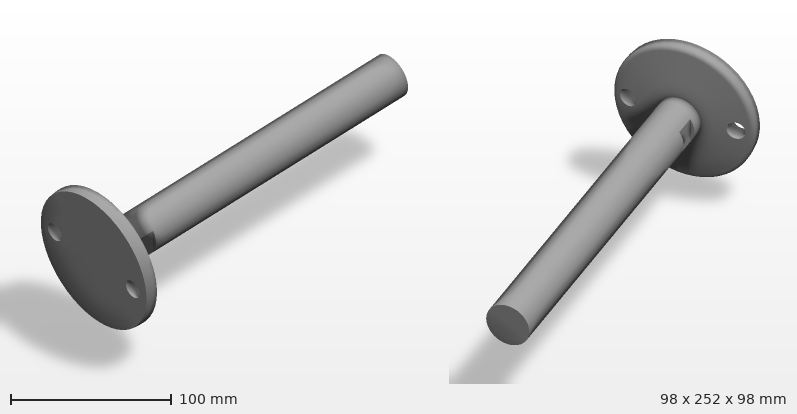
import cadquery as cq
import math

TOTAL_LENGTH = 252.0
SHAFT_DIAMETER = 30.0

BASE_DIAMETER = 98.0
BASE_BOTTOM_DIAMETER = 97.0
RIM_TAPER_HEIGHT = 4.0
RIM_BAND_HEIGHT = 3.0
RIM_ROUND_RADIUS = 3.0
CONE_ANGLE = 9.3

FLAT_DISTANCE = 24.0
FLAT_START = 24.0
FLAT_LENGTH = 15.0

HOLE_DIAMETER = 12.5
HOLE_RADIAL_POSITION = 35.75
HOLE_CUT_REACH = 20.0

SHAFT_RADIUS = SHAFT_DIAMETER / 2
BASE_RADIUS = BASE_DIAMETER / 2


def make_body():
    """Base plate and shaft, revolved about Y from one half profile."""
    slope = math.radians(CONE_ANGLE)
    round_start = RIM_TAPER_HEIGHT + RIM_BAND_HEIGHT
    round_center = BASE_RADIUS - RIM_ROUND_RADIUS

    def on_round(angle):
        """Point on the rim round, at an angle measured from the radial direction."""
        return (
            round_center + RIM_ROUND_RADIUS * math.cos(angle),
            round_start + RIM_ROUND_RADIUS * math.sin(angle),
        )

    cone_start_angle = math.pi / 2 - slope
    cone_radius, cone_height = on_round(cone_start_angle)
    cone_top_height = cone_height + (cone_radius - SHAFT_RADIUS) * math.tan(slope)

    profile = (
        cq.Workplane("XY")
        .moveTo(0, 0)
        .lineTo(BASE_BOTTOM_DIAMETER / 2, 0)
        .lineTo(BASE_RADIUS, RIM_TAPER_HEIGHT)
        .lineTo(BASE_RADIUS, round_start)
        .threePointArc(on_round(cone_start_angle / 2), on_round(cone_start_angle))
        .lineTo(SHAFT_RADIUS, cone_top_height)
        .lineTo(SHAFT_RADIUS, TOTAL_LENGTH)
        .lineTo(0, TOTAL_LENGTH)
        .close()
    )
    return profile.revolve(360, (0, 0, 0), (0, 1, 0))


def make_flat_cutter(side):
    """Block that cuts one wrench flat on the +X (side = 1) or -X (side = -1) of the shaft."""
    return (
        cq.Workplane("XY")
        .box(SHAFT_DIAMETER, FLAT_LENGTH, SHAFT_DIAMETER)
        .translate((side * (FLAT_DISTANCE + SHAFT_DIAMETER) / 2, FLAT_START + FLAT_LENGTH / 2, 0))
    )


def make_hole_cutter(side):
    """Cylinder for one mounting hole, square to the cone so that it leans outwards."""
    slope = math.radians(CONE_ANGLE)
    direction = cq.Vector(side * math.sin(slope), math.cos(slope), 0)
    center = cq.Vector(side * HOLE_RADIAL_POSITION, 0, 0)
    start = center - direction * HOLE_CUT_REACH
    return cq.Workplane(cq.Solid.makeCylinder(HOLE_DIAMETER / 2, 2 * HOLE_CUT_REACH, start, direction))


result = make_body()
for side in (-1, 1):
    result = result.cut(make_flat_cutter(side))
    result = result.cut(make_hole_cutter(side))